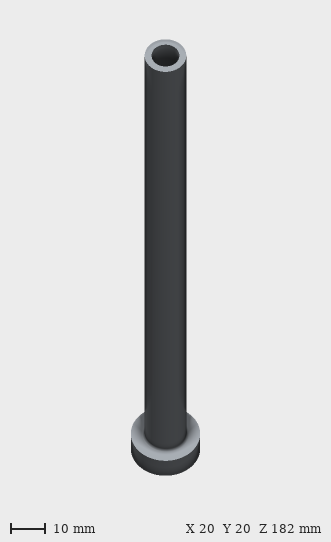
import cadquery as cq

total_length = 182.0
head_diameter = 20.0
head_height = 7.0
tube_diameter = 12.0
bore_diameter = 8.0
root_fillet = 0.8

head_bottom = -total_length / 2
head_top = head_bottom + head_height


def cylinder(diameter, bottom, height):
    """Upright cylinder on the part axis."""
    return cq.Workplane("XY").workplane(offset=bottom).circle(diameter / 2).extrude(height)


head = cylinder(head_diameter, head_bottom, head_height)
tube = cylinder(tube_diameter, head_bottom, total_length)
bore = cylinder(bore_diameter, head_bottom, total_length)

body = head.union(tube)

root_edge = cq.selectors.RadiusNthSelector(0)
body = body.faces(cq.selectors.NearestToPointSelector((0, 0, head_top))).edges(root_edge).fillet(root_fillet)

result = body.cut(bore)